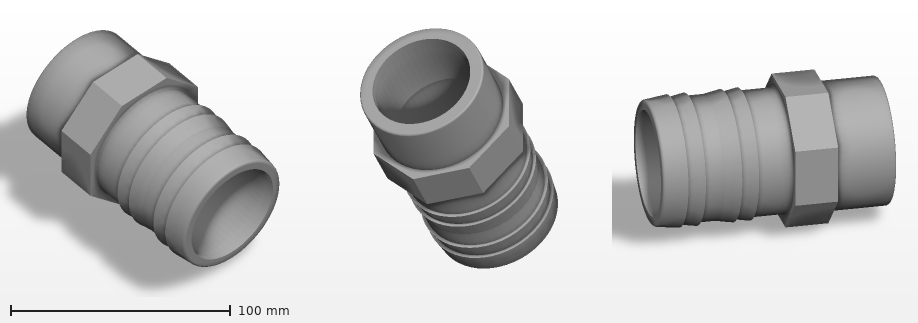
import cadquery as cq

length = 109.0
collar_start = 28.0
collar_end = 48.1
tail_bore_start = 31.8
barb_starts = [64.5, 72.4, 89.4, 97.6]
barb_ends = [72.4, 80.5, 97.6, length]

spigot_diameter = 59.4
neck_diameter = 58.0
barb_diameter = 61.0
bore_diameter = 47.0
tail_bore_diameter = 49.0

across_flats = 65.0
collar_sides = 8

spigot_fillet = 1.0
shoulder_fillet = 1.0
tip_fillet = 1.4


def cylinder(start, end, diameter):
    """Solid round bar along X."""
    return cq.Workplane("YZ", origin=(start, 0, 0)).circle(diameter / 2).extrude(end - start)


def spun(profile):
    """Solid of revolution about X from a closed XY profile."""
    return profile.close().revolve(360, (0, 0, 0), (1, 0, 0))


def barb(start, end):
    """Barb that steps up from the neck and tapers back down to it."""
    profile = (
        cq.Workplane("XY")
        .moveTo(start, 0)
        .lineTo(start, barb_diameter / 2)
        .lineTo(end, neck_diameter / 2)
        .lineTo(end, 0)
    )
    return spun(profile)


def shoulder():
    """Concave fillet between the collar face and the neck."""
    neck_radius = neck_diameter / 2
    neck_tangent = (collar_end + shoulder_fillet, neck_radius)
    profile = (
        cq.Workplane("XY")
        .moveTo(collar_end, 0)
        .lineTo(collar_end, neck_radius + shoulder_fillet)
        .radiusArc(neck_tangent, -shoulder_fillet)
        .lineTo(neck_tangent[0], 0)
    )
    return spun(profile)


def collar():
    """Octagonal collar with flats facing +-Y and +-Z."""
    return (
        cq.Workplane("YZ", origin=(collar_start, 0, 0))
        .polygon(collar_sides, across_flats, circumscribed=True)
        .extrude(collar_end - collar_start)
    )


spigot = cylinder(0, collar_end, spigot_diameter).faces("<X").edges().fillet(spigot_fillet)

tail = cylinder(collar_start, length, neck_diameter)
for barb_start, barb_end in zip(barb_starts, barb_ends):
    tail = tail.union(barb(barb_start, barb_end))
tail = tail.faces(">X").edges().fillet(tip_fillet)

body = spigot.union(collar()).union(shoulder()).union(tail)

bore = cylinder(0, length, bore_diameter)
tail_bore = cylinder(tail_bore_start, length, tail_bore_diameter)
result = body.cut(bore).cut(tail_bore)